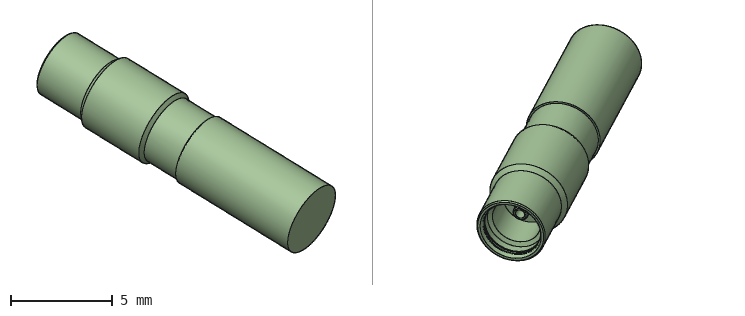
import cadquery as cq

length = 15.87

nose_radius = 1.76
collar_radius = 2.0
neck_radius = 1.81
sleeve_radius = 1.9

nose_bevel = 0.06
collar_start = 2.8
collar_end = 6.81
collar_front_bevel = collar_radius - nose_radius
collar_rear_bevel = collar_radius - neck_radius
sleeve_start = 8.85

mouth_radius = 1.57
throat_radius = 1.46
groove_radius = 1.52
bore_radius = 1.24
recess_radius = 0.8
mouth_taper_depth = 0.25
groove_end = 0.46
throat_depth = 0.87
throat_taper_end = 0.98
bore_depth = 2.78
recess_depth = 3.02

contact_radius = 0.38
contact_bevel = 0.06
contact_start = 1.59
contact_hole_radius = 0.24
contact_hole_depth = 0.63
contact_cone_depth = 0.24


def revolve_about_x(points):
    """Turn a closed (x, radius) outline into a solid about the X axis."""
    return cq.Workplane("XY").polyline(points).close().revolve(360, (0, 0, 0), (1, 0, 0))


def outer_body():
    return revolve_about_x([
        (0, 0),
        (0, nose_radius - nose_bevel),
        (nose_bevel, nose_radius),
        (collar_start, nose_radius),
        (collar_start + collar_front_bevel, collar_radius),
        (collar_end - collar_rear_bevel, collar_radius),
        (collar_end, neck_radius),
        (sleeve_start, neck_radius),
        (sleeve_start, sleeve_radius),
        (length, sleeve_radius),
        (length, 0),
    ])


def socket_cavity():
    return revolve_about_x([
        (0, 0),
        (0, mouth_radius),
        (mouth_taper_depth, throat_radius),
        (mouth_taper_depth, groove_radius),
        (groove_end, groove_radius),
        (groove_end, throat_radius),
        (throat_depth, throat_radius),
        (throat_taper_end, bore_radius),
        (bore_depth, bore_radius),
        (bore_depth, recess_radius),
        (recess_depth, recess_radius),
        (recess_depth, 0),
    ])


def centre_contact():
    hole_end = contact_start + contact_hole_depth
    return revolve_about_x([
        (contact_start, contact_hole_radius),
        (contact_start, contact_radius - contact_bevel),
        (contact_start + contact_bevel, contact_radius),
        (recess_depth, contact_radius),
        (recess_depth, 0),
        (hole_end + contact_cone_depth, 0),
        (hole_end, contact_hole_radius),
    ])


result = outer_body().cut(socket_cavity()).union(centre_contact())